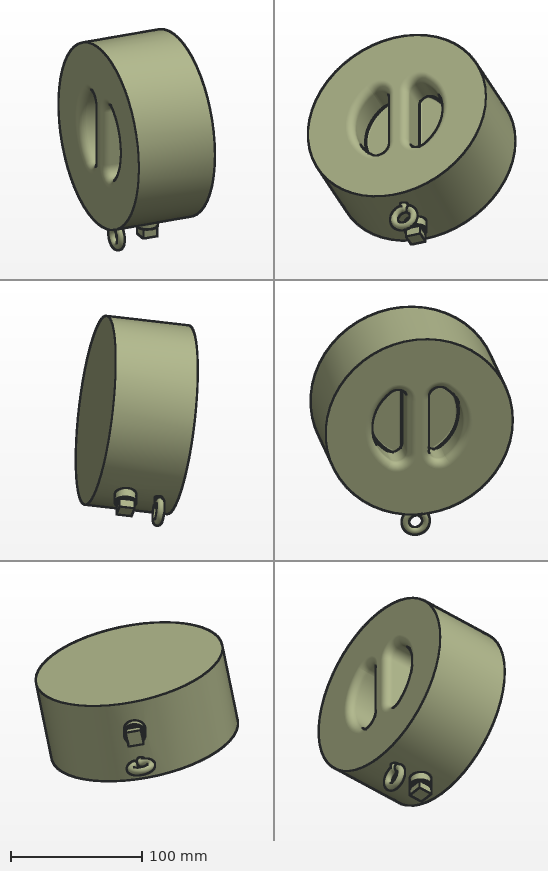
import cadquery as cq
import math

disc_diameter = 145.0
disc_thickness = 64.0
overall_height = 168.0
disc_radius = disc_diameter / 2
front_y = -disc_thickness / 2
lowest_z = disc_radius - overall_height

bar_half_width = 2.4
pocket_mouth_radius = 41.3
lip_fillet = 6.0
pocket_corner_radius = 7.9
pocket_depth = 25.0
pocket_flat_x = bar_half_width + lip_fillet
pocket_wall_radius = pocket_mouth_radius - lip_fillet

shelf_width = 1.0
recess_depth = 1.7
recess_fillet = 1.43

root_depth = 5.0
root_z = -disc_radius + root_depth

stud_diameter = 16.6
stud_y = 8.7
stud_bottom_z = -80.6
stud_chamfer = 0.8
drive_width = 11.8
drive_bottom_z = -87.8

wire_diameter = 6.0
hook_bend_radius = 7.98
hook_y = -17.0
hook_gap_angle = 30.0
wire_radius = wire_diameter / 2
hook_center_z = lowest_z + hook_bend_radius + wire_radius
hook_top_z = hook_center_z + hook_bend_radius


def d_prism(flat_x, arc_radius, start_y, depth):
    """D-shaped prism on the +X side, running from start_y towards +Y."""
    corner_z = math.sqrt(arc_radius**2 - flat_x**2)
    return (
        cq.Workplane("XZ", origin=(0, start_y, 0))
        .moveTo(flat_x, -corner_z)
        .threePointArc((arc_radius, 0), (flat_x, corner_z))
        .close()
        .extrude(-depth)
    )


def finger_pocket():
    """Straight-walled pocket with rounded corners."""
    prism = d_prism(pocket_flat_x, pocket_wall_radius, front_y, pocket_depth)
    return prism.edges("|Y").fillet(pocket_corner_radius)


def floor_recess():
    """Inset recess below the pocket, rounded where its walls meet its floor."""
    flat_x = pocket_flat_x + shelf_width
    arc_radius = pocket_wall_radius - shelf_width
    prism = d_prism(flat_x, arc_radius, front_y + pocket_depth, recess_depth)
    return prism.faces(">Y").edges().fillet(recess_fillet)


def pocketed_disc():
    """Disc with two mirrored pockets, their mouths rounded."""
    disc = cq.Workplane("XZ", origin=(0, front_y, 0)).circle(disc_radius).extrude(-disc_thickness)
    pocket = finger_pocket()
    recess = floor_recess()
    disc = disc.cut(pocket).cut(pocket.mirror("YZ"))
    mouth_edges = []
    for mouth in disc.faces("<Y").val().innerWires():
        mouth_edges.extend(mouth.Edges())
    disc = disc.newObject(mouth_edges).fillet(lip_fillet)
    return disc.cut(recess).cut(recess.mirror("YZ"))


def drive_stud():
    """Round stud rooted inside the disc, ending in a square drive."""
    stud = (
        cq.Workplane("XY", origin=(0, stud_y, stud_bottom_z))
        .circle(stud_diameter / 2)
        .extrude(root_z - stud_bottom_z)
        .faces("<Z")
        .edges()
        .chamfer(stud_chamfer)
    )
    drive = (
        cq.Workplane("XY", origin=(0, stud_y, drive_bottom_z))
        .rect(drive_width, drive_width)
        .extrude(stud_bottom_z - drive_bottom_z)
    )
    return stud.union(drive)


def wire_hook():
    """Straight shank with a ball end, and a ring that stops short of the shank on the +X side."""
    shank = (
        cq.Workplane("XY", origin=(0, hook_y, hook_top_z))
        .circle(wire_radius)
        .extrude(root_z - hook_top_z)
    )
    ball = cq.Workplane("XY", origin=(0, hook_y, hook_top_z)).sphere(wire_radius)
    ring = (
        cq.Workplane("YZ", origin=(0, hook_y, hook_top_z))
        .circle(wire_radius)
        .revolve(360 - hook_gap_angle, (1.7, -hook_bend_radius), (-1.7, -hook_bend_radius))
    )
    return shank.union(ball).union(ring)


result = pocketed_disc().union(drive_stud()).union(wire_hook())